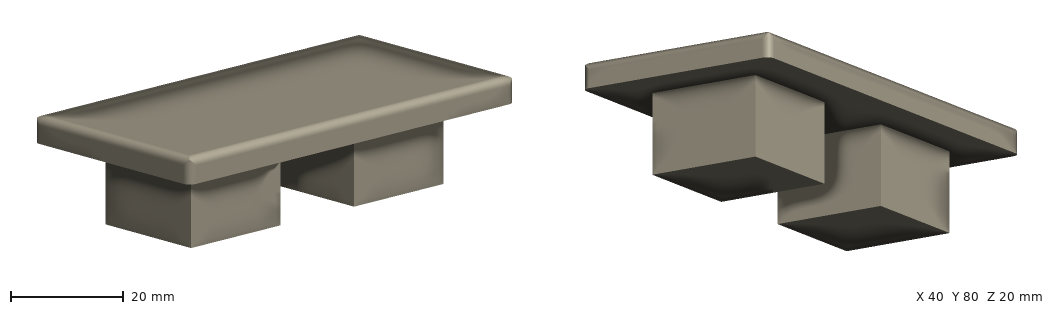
import cadquery as cq

plate_width = 40.0
plate_length = 80.0
plate_thickness = 5.0
edge_radius = 1.5

peg_side = 22.0
peg_height = 15.0
peg_pitch = plate_length / 2


def make_blank():
    """Sharp-edged plate standing on top of the pegs."""
    outline = cq.Workplane("XY").workplane(offset=peg_height).rect(plate_width, plate_length)
    return outline.extrude(plate_thickness)


def make_plate():
    """Plate whose top rounds meet in mitres, trimmed by the round upright corners."""
    rounded_top = make_blank().edges(">Z").fillet(edge_radius)
    rounded_corners = make_blank().edges("|Z").fillet(edge_radius)
    return rounded_top.intersect(rounded_corners)


def make_pegs():
    """Pair of plain square pegs rising from Z = 0 to the underside of the plate."""
    pegs = cq.Workplane("XY").rarray(1, peg_pitch, 1, 2).rect(peg_side, peg_side)
    return pegs.extrude(peg_height)


result = make_plate().union(make_pegs())